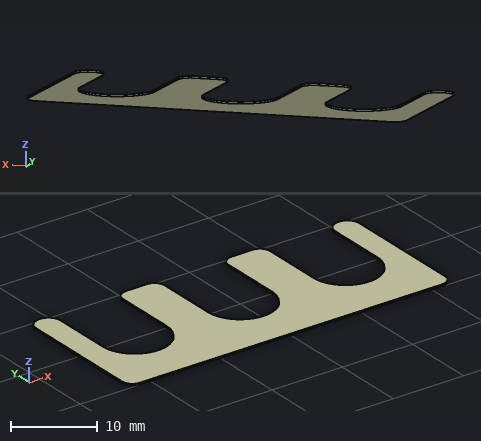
import cadquery as cq
import math

length = 46.0
width = 20.0
thickness = 0.25
slot_count = 3
slot_pitch = 15.0
slot_width = 9.0
web_width = 5.5
corner_radius = 1.5

half_length = length / 2
slot_radius = slot_width / 2
slot_center_y = web_width + slot_radius
first_slot_x = -slot_pitch * (slot_count - 1) / 2
slot_centers = [first_slot_x + i * slot_pitch for i in range(slot_count)]
end_prong_width = half_length + first_slot_x - slot_radius
end_tip_radius = end_prong_width / 2
arc_middle = math.sqrt(0.5)


def add_end_tip(outline, left):
    """Go up the left side of an end prong and over its full round tip."""
    shoulder_y = width - end_tip_radius
    return outline.lineTo(left, shoulder_y).threePointArc(
        (left + end_tip_radius, width), (left + end_prong_width, shoulder_y)
    )


def add_inner_tip(outline, left, right):
    """Go up the left side of an inner prong and over its flat tip with round corners."""
    shoulder_y = width - corner_radius
    flat_left = left + corner_radius
    flat_right = right - corner_radius
    arc_reach = corner_radius * arc_middle
    return (
        outline.lineTo(left, shoulder_y)
        .threePointArc((flat_left - arc_reach, shoulder_y + arc_reach), (flat_left, width))
        .lineTo(flat_right, width)
        .threePointArc((flat_right + arc_reach, shoulder_y + arc_reach), (right, shoulder_y))
    )


def add_slot(outline, center_x):
    """Go down into a slot and around its round bottom."""
    return outline.lineTo(center_x - slot_radius, slot_center_y).threePointArc(
        (center_x, web_width), (center_x + slot_radius, slot_center_y)
    )


def comb_outline():
    """Closed clockwise outline, starting at the back left corner."""
    outline = cq.Workplane("XY").moveTo(-half_length, 0)
    outline = add_end_tip(outline, -half_length)
    outline = add_slot(outline, slot_centers[0])
    for previous_x, center_x in zip(slot_centers, slot_centers[1:]):
        outline = add_inner_tip(outline, previous_x + slot_radius, center_x - slot_radius)
        outline = add_slot(outline, center_x)
    outline = add_end_tip(outline, half_length - end_prong_width)
    return outline.lineTo(half_length, 0).close()


plate = comb_outline().extrude(thickness)

result = plate.faces("<Y").edges("|Z").fillet(corner_radius)